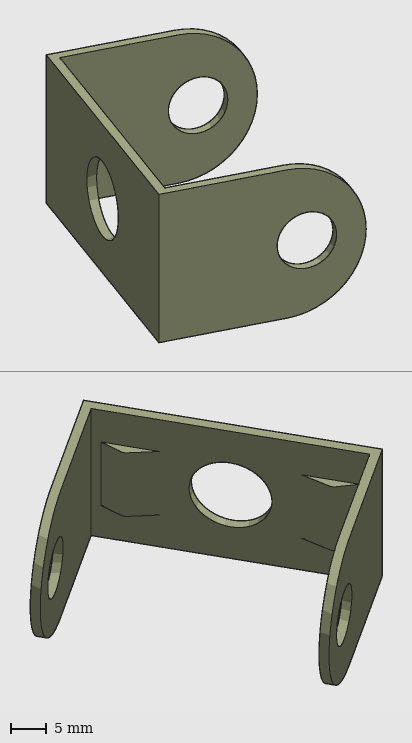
import cadquery as cq

width = 43.05
depth = 31.18
height = 23.75
sheet = 1.45

base_hole_diameter = 11.93
ear_hole_diameter = 8.9
ear_hole_from_front = 22.25

lug_inner_x = 10.25
lug_peak_x = 15.03
lug_outer_x = 18.65
lug_rise = 1.5
lug_tip_radius = 1.3
lug_height = height / 2

ear_radius = height / 2
ear_center_y = depth - ear_radius


def make_channel():
    """U-shaped channel, open towards +Y, centred on X and Z."""
    block = cq.Workplane("XY").box(width, depth, height, centered=(True, False, True))
    opening = (
        cq.Workplane("XY")
        .box(width - 2 * sheet, depth, height, centered=(True, False, True))
        .translate((0, sheet, 0))
    )
    return block.cut(opening)


def make_ear_outline():
    """Side outline with a round end, extruded across the full width."""
    return (
        cq.Workplane("YZ", origin=(-width / 2, 0, 0))
        .moveTo(0, -ear_radius)
        .lineTo(ear_center_y, -ear_radius)
        .threePointArc((depth, 0), (ear_center_y, ear_radius))
        .lineTo(0, ear_radius)
        .close()
        .extrude(width)
    )


def make_lug(side):
    """Low triangular lug with a rounded crest; side is -1 or +1 along X."""
    return (
        cq.Workplane("XY", origin=(0, 0, -lug_height / 2))
        .moveTo(side * lug_inner_x, sheet)
        .lineTo(side * lug_peak_x, sheet + lug_rise)
        .lineTo(side * lug_outer_x, sheet)
        .close()
        .extrude(lug_height)
        .edges("|Z and >Y")
        .fillet(lug_tip_radius)
    )


base_hole = cq.Workplane("XZ").circle(base_hole_diameter / 2).extrude(-sheet)
ear_holes = (
    cq.Workplane("YZ", origin=(-width / 2, 0, 0))
    .center(ear_hole_from_front, 0)
    .circle(ear_hole_diameter / 2)
    .extrude(width)
)

result = make_channel().intersect(make_ear_outline()).cut(base_hole).cut(ear_holes)
for side in (-1, 1):
    result = result.union(make_lug(side))